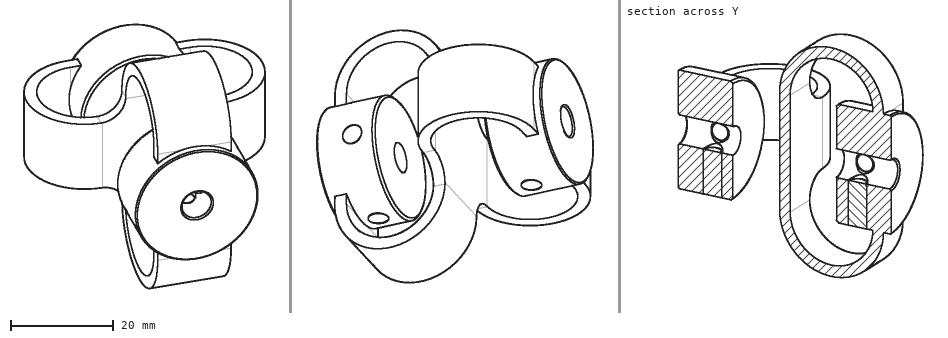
import cadquery as cq
OVERALL = 48.0
END = OVERALL / 2

STRIP_THICKNESS = 2.5
STRIP_WIDTH = 15.0
LOOP_OUTER_RADIUS = 11.75
LOOP_INNER_RADIUS = LOOP_OUTER_RADIUS - STRIP_THICKNESS
LOOP_CENTRE_X = LOOP_OUTER_RADIUS - STRIP_THICKNESS / 2
LOOP_CENTRE_OFFSET = END - LOOP_OUTER_RADIUS
TIP_OFFSET = 10.0
ARM_FILLET_RADIUS = 5.0
WEB_SPAN = STRIP_WIDTH + 2 * ARM_FILLET_RADIUS + 0.01

HUB_RADIUS = 12.5
HUB_LENGTH = 12.4
HUB_INNER_X = END - HUB_LENGTH
HUB_INNER_CHAMFER = 0.5
HUB_OUTER_CHAMFER = 0.3
BORE_RADIUS = 3.0
BORE_CHAMFER = 0.35

SCREW_RADIUS = 2.0
SCREW_X = HUB_INNER_X + 4.7
SCREW_LENGTH = HUB_RADIUS - BORE_RADIUS
SCREW_TIP_CHAMFER = 0.25


def turn_about_x(body, angle):
    return body.rotate((0, 0, 0), (1, 0, 0), angle)


def to_opposite_end(body):
    """Turn a body half a turn about the axis (0, 1, -1): +X goes to -X, +Z to -Y and -Z to +Y."""
    return body.rotate((0, 0, 0), (0, 1, -1), 180)


def make_loop_pair(width):
    """U-shaped strips that leave the web at +Z and -Z and bend over to the +X hub."""
    near_outer_x = LOOP_CENTRE_X - LOOP_OUTER_RADIUS
    near_inner_x = LOOP_CENTRE_X - LOOP_INNER_RADIUS
    far_inner_x = LOOP_CENTRE_X + LOOP_INNER_RADIUS
    far_outer_x = LOOP_CENTRE_X + LOOP_OUTER_RADIUS
    outer_top = (LOOP_CENTRE_X, LOOP_CENTRE_OFFSET + LOOP_OUTER_RADIUS)
    inner_top = (LOOP_CENTRE_X, LOOP_CENTRE_OFFSET + LOOP_INNER_RADIUS)
    upper_loop = (
        cq.Workplane("XZ")
        .moveTo(near_outer_x, LOOP_CENTRE_OFFSET)
        .threePointArc(outer_top, (far_outer_x, LOOP_CENTRE_OFFSET))
        .lineTo(far_outer_x, TIP_OFFSET)
        .lineTo(far_inner_x, TIP_OFFSET)
        .lineTo(far_inner_x, LOOP_CENTRE_OFFSET)
        .threePointArc(inner_top, (near_inner_x, LOOP_CENTRE_OFFSET))
        .close()
        .extrude(width / 2, both=True)
    )
    return upper_loop.union(turn_about_x(upper_loop, 180))


def make_loops(width):
    """Loop pairs for both hubs: along Z towards +X and along Y towards -X."""
    loop_pair = make_loop_pair(width)
    return loop_pair.union(to_opposite_end(loop_pair))


def make_web():
    """Cross-shaped sheet in the YZ plane with rounded corners between its arms.

    The corner rounds run slightly past the start of the loops, so the arm ends
    are trimmed to the bend of a loop that is as wide as the web.
    """
    arms_along_y = cq.Workplane("XY").box(STRIP_THICKNESS, WEB_SPAN, STRIP_WIDTH)
    arms_along_z = cq.Workplane("XY").box(STRIP_THICKNESS, STRIP_WIDTH, WEB_SPAN)
    corner_box = cq.selectors.BoxSelector(
        (-STRIP_THICKNESS, -STRIP_WIDTH / 2 - 0.5, -STRIP_WIDTH / 2 - 0.5),
        (STRIP_THICKNESS, STRIP_WIDTH / 2 + 0.5, STRIP_WIDTH / 2 + 0.5),
    )
    cross = arms_along_y.union(arms_along_z).edges("|X").edges(corner_box).fillet(ARM_FILLET_RADIUS)
    flat_span = 2 * LOOP_CENTRE_OFFSET
    bent_sheet = cq.Workplane("XY").box(STRIP_THICKNESS, flat_span, flat_span).union(make_loops(WEB_SPAN))
    return cross.intersect(bent_sheet)


def make_spring():
    """Web with two loops towards each hub."""
    return make_web().union(make_loops(STRIP_WIDTH))


def make_hub():
    """Chamfered +X hub with its through bore."""
    hub = (
        cq.Workplane("YZ", origin=(HUB_INNER_X, 0, 0))
        .circle(HUB_RADIUS)
        .extrude(HUB_LENGTH)
        .faces(">X").chamfer(HUB_OUTER_CHAMFER)
        .faces("<X").chamfer(HUB_INNER_CHAMFER)
        .faces(">X").workplane()
        .hole(2 * BORE_RADIUS)
    )
    smallest_circle = cq.selectors.RadiusNthSelector(0)
    return hub.faces(">X").edges("%CIRCLE").edges(smallest_circle).chamfer(BORE_CHAMFER)


def make_screw_hole():
    """Cutter for the screw hole on the -Z side of the +X hub, from inside the bore to the rim."""
    return cq.Workplane("XY", origin=(SCREW_X, 0, 0)).circle(SCREW_RADIUS).extrude(-HUB_RADIUS)


def make_screw():
    """Set screw on the -Z side of the +X hub, flush with the rim and chamfered at its tip."""
    return (
        cq.Workplane("XY", origin=(SCREW_X, 0, -BORE_RADIUS))
        .circle(SCREW_RADIUS)
        .extrude(-SCREW_LENGTH)
        .faces(">Z").chamfer(SCREW_TIP_CHAMFER)
    )


def place_at_screw_positions(body):
    """Copies for the four screw positions: on the -Z and +Y sides of each hub."""
    at_near_hub = [turn_about_x(body, angle) for angle in (0, 90)]
    return at_near_hub + [to_opposite_end(copy) for copy in at_near_hub]


def make_coupling():
    """One-piece coupling: the spring with both hubs on its tips, drilled for the screws."""
    hub = make_hub()
    for angle in (0, 90):
        hub = hub.cut(turn_about_x(make_screw_hole(), angle))
    return make_spring().union(hub).union(to_opposite_end(hub))


coupling = make_coupling()
set_screws = place_at_screw_positions(make_screw())

result = cq.Compound.makeCompound([coupling.val(), *[screw.val() for screw in set_screws]])